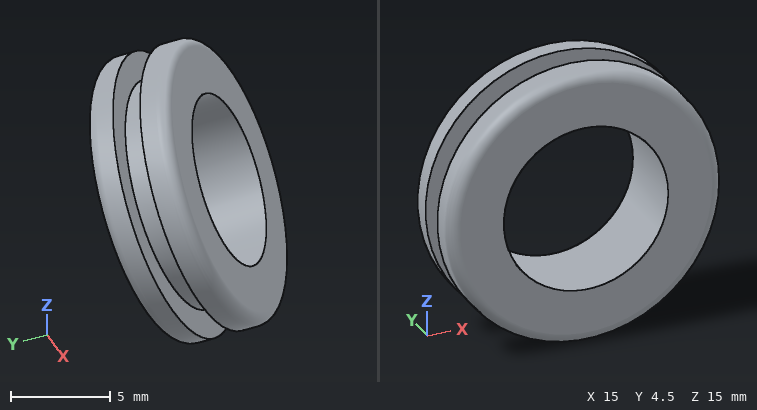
import cadquery as cq

outer_diameter = 15.0
bore_diameter = 9.0
groove_diameter = 12.0
total_width = 4.5
groove_width = 1.5
rim_fillet = 0.6

flange_width = (total_width - groove_width) / 2


def disc(diameter, width, start_y):
    """Solid disc about the Y axis, reaching from start_y towards +Y."""
    plane = cq.Workplane("XZ", origin=(0, start_y, 0))
    return plane.circle(diameter / 2).extrude(-width)


front_flange = disc(outer_diameter, flange_width, -total_width / 2).faces("<Y").edges().fillet(rim_fillet)
back_flange = disc(outer_diameter, flange_width, groove_width / 2).faces(">Y").edges().fillet(rim_fillet)

neck = disc(groove_diameter, groove_width, -groove_width / 2)
bore = disc(bore_diameter, total_width, -total_width / 2)

result = front_flange.union(neck).union(back_flange).cut(bore)